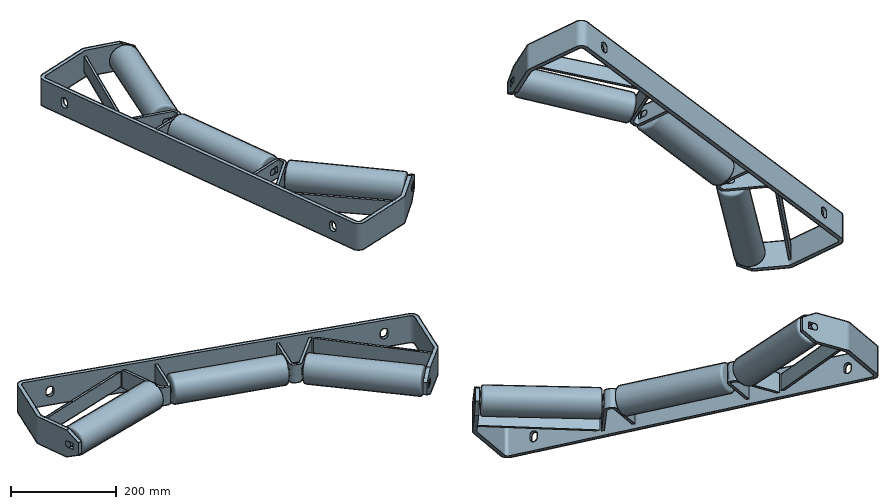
import cadquery as cq
import math

FRAME_LENGTH = 800.0
FRAME_DEPTH = 223.0
FRAME_WIDTH = 60.0
FRAME_THICKNESS = 8.0
FRAME_BEND_RADIUS = 15.0
LEG_CORNER_HEIGHT = 133.0
LEG_END_WIDTH = 27.0
LEG_TAPER_LENGTH = 30.0
FOOT_SLOT_X = 334.0
FOOT_SLOT_WIDTH = 15.0
FOOT_SLOT_LENGTH = 22.0

TILT = 30.0
ROLLER_DIAMETER = 60.0
ROLLER_LENGTH = 229.0
ROLLER_EDGE_RADIUS = 5.0
ROLLER_SPACE = 237.0
MIDDLE_ROLLER_Y = 71.0
LEG_CORNER_TO_AXIS = 78.0
SHAFT_DIAMETER = 14.0
SHAFT_SLOT_LENGTH = 20.0

BRACKET_THICKNESS = 6.0
BRACKET_WIDTH = 40.0
BRACKET_TOP_Y = 94.0
BRACKET_BEND_RADIUS = 10.0

BRACE_THICKNESS = 5.0
BRACE_WIDTH = 34.0
BRACE_FOOT_X = 192.0

SIN_TILT = math.sin(math.radians(TILT))
COS_TILT = math.cos(math.radians(TILT))
TAN_TILT = math.tan(math.radians(TILT))


def tilted_move(start, along, up):
    """Point reached from start by moving along a tilted roller axis and square to it."""
    return (
        start[0] + along * COS_TILT - up * SIN_TILT,
        start[1] + along * SIN_TILT + up * COS_TILT,
    )


HALF_LENGTH = FRAME_LENGTH / 2
LEG_INNER_X = HALF_LENGTH - FRAME_THICKNESS
LEG_CORNER = (HALF_LENGTH, LEG_CORNER_HEIGHT)
LEG_LENGTH = (FRAME_DEPTH - LEG_CORNER_HEIGHT) / COS_TILT
LEG_TIP = tilted_move(LEG_CORNER, 0, LEG_LENGTH)

LEG_SHAFT_SEAT = tilted_move(LEG_CORNER, 0, LEG_CORNER_TO_AXIS)
MIDDLE_ROLLER_CENTRE = (0, MIDDLE_ROLLER_Y)
SIDE_ROLLER_CENTRE = tilted_move(LEG_SHAFT_SEAT, -FRAME_THICKNESS - ROLLER_SPACE / 2, 0)

BRACKET_LEVEL_SEAT = (ROLLER_SPACE / 2, MIDDLE_ROLLER_Y)
BRACKET_TILTED_SEAT = tilted_move(SIDE_ROLLER_CENTRE, -ROLLER_SPACE / 2, 0)


def strip(outline, width):
    """Solid with a closed XY outline, centred on Z = 0."""
    return cq.Workplane("XY").polyline(outline).close().extrude(width / 2, both=True)


def round_corners(body, corners, radius):
    """Fillet the Z-direction edges that stand on the given XY corners."""
    for x, y in corners:
        body = body.edges(cq.selectors.NearestToPointSelector((x, y, 0))).fillet(radius)
    return body


def place(body, position, angle=0):
    """Turn a body about Z and move its origin to an XY position."""
    return body.rotate((0, 0, 0), (0, 0, 1), angle).translate((*position, 0))


def mirrored(body):
    """Copy of a body on the other side of the YZ plane."""
    return body.mirror("YZ")


def shaft_slot_cutter(wall_thickness):
    """Slot through a wall square to X: round below, around the shaft axis, and flat above."""
    radius = SHAFT_DIAMETER / 2
    flat_end = SHAFT_SLOT_LENGTH - radius
    return (
        cq.Workplane("YZ")
        .moveTo(flat_end, radius)
        .lineTo(0, radius)
        .threePointArc((-radius, 0), (0, -radius))
        .lineTo(flat_end, -radius)
        .close()
        .extrude(2 * wall_thickness, both=True)
    )


def leg_taper_cutter():
    """Two wedges that narrow the end of a leg standing along Y with its tip at Y = 0."""
    half_end = LEG_END_WIDTH / 2
    half_width = FRAME_WIDTH / 2
    wedge = (
        cq.Workplane("YZ")
        .polyline([(0, half_end), (0, half_width), (-LEG_TAPER_LENGTH, half_width)])
        .close()
        .extrude(2 * FRAME_THICKNESS, both=True)
    )
    return wedge.union(wedge.mirror("XY"))


def foot_slot_cutter():
    """Upright slot through the bottom bar."""
    return (
        cq.Workplane("XZ")
        .center(FOOT_SLOT_X, 0)
        .slot2D(FOOT_SLOT_LENGTH, FOOT_SLOT_WIDTH, 90)
        .extrude(2 * FRAME_THICKNESS, both=True)
    )


def make_frame():
    inner_leg_corner_y = LEG_CORNER_HEIGHT - FRAME_THICKNESS * math.tan(math.radians(TILT / 2))
    outer_corners = [(HALF_LENGTH, 0), LEG_CORNER]
    inner_corners = [(LEG_INNER_X, inner_leg_corner_y), (LEG_INNER_X, FRAME_THICKNESS)]
    outline = [
        (0, 0),
        *outer_corners,
        LEG_TIP,
        tilted_move(LEG_TIP, -FRAME_THICKNESS, 0),
        *inner_corners,
        (0, FRAME_THICKNESS),
    ]
    half = strip(outline, FRAME_WIDTH)
    half = round_corners(half, outer_corners, FRAME_BEND_RADIUS)
    half = round_corners(half, inner_corners, FRAME_BEND_RADIUS - FRAME_THICKNESS)
    half = half.cut(place(leg_taper_cutter(), LEG_TIP, TILT))
    half = half.cut(place(shaft_slot_cutter(FRAME_THICKNESS), LEG_SHAFT_SEAT, TILT))
    half = half.cut(foot_slot_cutter())
    return half.union(mirrored(half)).clean()


def make_bracket():
    def slant_x(y):
        """X of the slanted face toward the tilted roller."""
        return BRACKET_TILTED_SEAT[0] + (BRACKET_TILTED_SEAT[1] - y) * TAN_TILT

    level_x = BRACKET_LEVEL_SEAT[0]
    base_y = FRAME_THICKNESS
    under_top_y = BRACKET_TOP_Y - BRACKET_THICKNESS
    slant_thickness = BRACKET_THICKNESS / COS_TILT
    outer_corners = [(level_x, BRACKET_TOP_Y), (slant_x(BRACKET_TOP_Y), BRACKET_TOP_Y)]
    inner_corners = [
        (slant_x(under_top_y) - slant_thickness, under_top_y),
        (level_x + BRACKET_THICKNESS, under_top_y),
    ]
    outline = [
        (level_x, base_y),
        *outer_corners,
        (slant_x(base_y), base_y),
        (slant_x(base_y) - slant_thickness, base_y),
        *inner_corners,
        (level_x + BRACKET_THICKNESS, base_y),
    ]
    bracket = strip(outline, BRACKET_WIDTH)
    bracket = round_corners(bracket, outer_corners, BRACKET_BEND_RADIUS)
    bracket = round_corners(bracket, inner_corners, BRACKET_BEND_RADIUS - BRACKET_THICKNESS)
    slot = shaft_slot_cutter(BRACKET_THICKNESS)
    bracket = bracket.cut(place(slot, BRACKET_LEVEL_SEAT))
    return bracket.cut(place(slot, BRACKET_TILTED_SEAT, TILT))


def make_brace(frame):
    """Strip from the bottom bar to the leg corner, its upper end shaped to the leg's bend."""
    run = LEG_INNER_X - BRACE_FOOT_X
    rise = LEG_CORNER_HEIGHT - FRAME_THICKNESS
    slope = math.atan2(rise, run)
    outline = [
        (BRACE_FOOT_X, FRAME_THICKNESS),
        (BRACE_FOOT_X + BRACE_THICKNESS / math.sin(slope), FRAME_THICKNESS),
        (LEG_INNER_X, LEG_CORNER_HEIGHT - BRACE_THICKNESS / math.cos(slope)),
        (LEG_INNER_X, LEG_CORNER_HEIGHT),
    ]
    return strip(outline, BRACE_WIDTH).cut(frame)


def make_roller(left_wall, right_wall):
    """Roller along X, centred on the origin, its shaft ending flush with the walls that hold it."""
    def bar(diameter, start_x, end_x):
        return cq.Workplane("YZ", origin=(start_x, 0, 0)).circle(diameter / 2).extrude(end_x - start_x)

    shell = bar(ROLLER_DIAMETER, -ROLLER_LENGTH / 2, ROLLER_LENGTH / 2)
    shell = shell.faces("<X or >X").edges().fillet(ROLLER_EDGE_RADIUS)
    half_space = ROLLER_SPACE / 2
    return shell.union(bar(SHAFT_DIAMETER, -half_space - left_wall, half_space + right_wall))


frame = make_frame()
middle_roller = place(make_roller(BRACKET_THICKNESS, BRACKET_THICKNESS), MIDDLE_ROLLER_CENTRE)
side_roller = place(make_roller(BRACKET_THICKNESS, FRAME_THICKNESS), SIDE_ROLLER_CENTRE, TILT)

bodies = [*frame.solids().vals(), *middle_roller.solids().vals()]
for right_body in (make_bracket(), make_brace(frame), side_roller):
    for body in (right_body, mirrored(right_body)):
        bodies.extend(body.solids().vals())

result = cq.Compound.makeCompound(bodies)